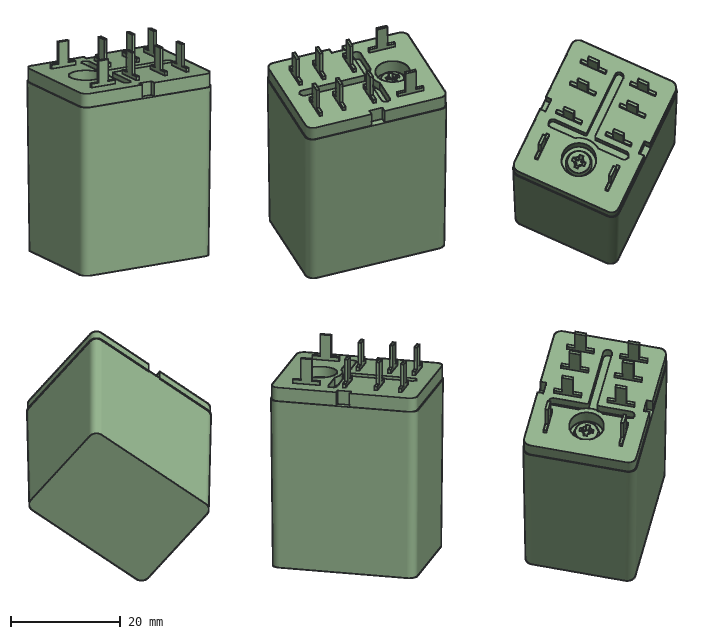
import cadquery as cq
import math

case_top_x = 21.29
case_top_y = 27.74
case_bottom_x = 20.6
case_bottom_y = 27.22
corner_radius = 1.6

total_height = 39.62
blade_height = 4.85
cover_height = 2.6
cover_top = total_height - blade_height
case_height = cover_top - cover_height

cover_step = 0.155
cover_x = case_top_x - 2 * cover_step
cover_y = case_top_y - 2 * cover_step

notch_width = 2.54
notch_bottom_x = 9.38

groove_width = 1.64
groove_depth = 1.65
groove_bar_y = -2.76
groove_bar_length = 16.0
groove_stem_end_y = 11.24
groove_inner_radius = 0.25

screw_y = -7.0
well_radius = 3.17
well_depth = 2.6
well_wall_radius = 4.14

head_base_radius = 2.41
head_crown_radius = 2.1
head_crown_height = 1.0
head_dome_height = 1.45
head_embedding = 0.2
recess_depth = 0.85
recess_arm_length = 2.85
recess_arm_width = 0.8
recess_arm_floor_length = 1.3
recess_arm_floor_width = 0.5
recess_core_width = 1.9
recess_core_floor_width = 0.85

blade_thickness = 0.55
foot_width = 5.08
foot_height = 0.7
tab_width = 2.05
contact_x = 5.0
contact_rows_y = (10.05, 5.47, -0.51)
coil_x = 7.09
coil_y = -7.68


def make_case():
    bottom = cq.Sketch().rect(case_bottom_x, case_bottom_y).vertices().fillet(corner_radius)
    top = cq.Sketch().rect(case_top_x, case_top_y).vertices().fillet(corner_radius)
    top = top.moved(cq.Location(cq.Vector(0, 0, case_height)))
    return cq.Workplane("XY").placeSketch(bottom, top).loft()


def make_cover():
    plate = (
        cq.Workplane("XY", origin=(0, 0, case_height))
        .rect(cover_x, cover_y)
        .extrude(cover_height)
        .edges("|Z")
        .fillet(corner_radius - cover_step)
    )
    notch_depth = cover_x / 2 - notch_bottom_x
    notches = (
        cq.Workplane("XY", origin=(0, 0, case_height))
        .pushPoints([(side * (notch_bottom_x + notch_depth / 2), 0) for side in (-1, 1)])
        .rect(notch_depth, notch_width)
        .extrude(cover_height)
    )
    return plate.cut(notches)


def make_groove():
    floor = cq.Workplane("XY", origin=(0, 0, cover_top - groove_depth))
    bar = floor.center(0, groove_bar_y).slot2D(groove_bar_length, groove_width).extrude(groove_depth)
    stem_length = groove_stem_end_y - groove_bar_y + groove_width / 2
    stem_center_y = groove_stem_end_y - stem_length / 2
    stem = floor.center(0, stem_center_y).slot2D(stem_length, groove_width, 90).extrude(groove_depth)
    crossing = floor.center(0, groove_bar_y).rect(groove_width, groove_width).extrude(groove_depth)
    inner_corners = cq.selectors.BoxSelector(
        (-groove_width, groove_bar_y, 0),
        (groove_width, groove_bar_y + groove_width, total_height),
    )
    groove = bar.union(stem).union(crossing).edges("|Z").edges(inner_corners).fillet(groove_inner_radius)
    well_wall = floor.center(0, screw_y).circle(well_wall_radius).extrude(groove_depth)
    return groove.cut(well_wall)


def make_well():
    floor = cq.Workplane("XY", origin=(0, 0, cover_top - well_depth))
    return floor.center(0, screw_y).circle(well_radius).extrude(well_depth)


def make_recess_prism(floor_size, top_size, angle):
    """Rectangular pocket that widens from the recess floor up to the top of the screw head."""
    return (
        cq.Workplane("XY", origin=(0, 0, head_dome_height - recess_depth))
        .rect(*floor_size)
        .workplane(offset=recess_depth)
        .rect(*top_size)
        .loft()
        .rotate((0, 0, 0), (0, 0, 1), angle)
    )


def make_screw():
    dome_rise = head_dome_height - head_crown_height
    dome_radius = (head_crown_radius**2 + dome_rise**2) / (2 * dome_rise)
    dome_mid_x = head_crown_radius / 2
    dome_mid_z = head_dome_height - dome_radius + math.sqrt(dome_radius**2 - dome_mid_x**2)
    head = (
        cq.Workplane("XZ")
        .moveTo(0, -head_embedding)
        .lineTo(head_base_radius, -head_embedding)
        .lineTo(head_base_radius, 0)
        .lineTo(head_crown_radius, head_crown_height)
        .threePointArc((dome_mid_x, dome_mid_z), (0, head_dome_height))
        .close()
        .revolve(360, (0, 0, 0), (0, 1, 0))
    )
    arm_floor = (recess_arm_floor_length, recess_arm_floor_width)
    arm_top = (recess_arm_length, recess_arm_width)
    core_floor = (recess_core_floor_width, recess_core_floor_width)
    core_top = (recess_core_width, recess_core_width)
    head = head.cut(make_recess_prism(core_floor, core_top, 45))
    for angle in (0, 90):
        head = head.cut(make_recess_prism(arm_floor, arm_top, angle))
    return head.translate((0, screw_y, cover_top - well_depth))


def make_blade():
    on_base = (True, True, False)
    foot = cq.Workplane("XY").box(foot_width, blade_thickness, foot_height, centered=on_base)
    tab = cq.Workplane("XY").box(tab_width, blade_thickness, blade_height, centered=on_base)
    return foot.union(tab)


def make_contacts():
    blade = make_blade()
    coil_blade = blade.rotate((0, 0, 0), (0, 0, 1), 90)
    contacts = cq.Workplane("XY")
    for side in (-1, 1):
        for row_y in contact_rows_y:
            contacts = contacts.add(blade.translate((side * contact_x, row_y, cover_top)))
        contacts = contacts.add(coil_blade.translate((side * coil_x, coil_y, cover_top)))
    return contacts.combine()


body = make_case().union(make_cover()).cut(make_groove()).cut(make_well())
result = body.union(make_screw()).union(make_contacts())